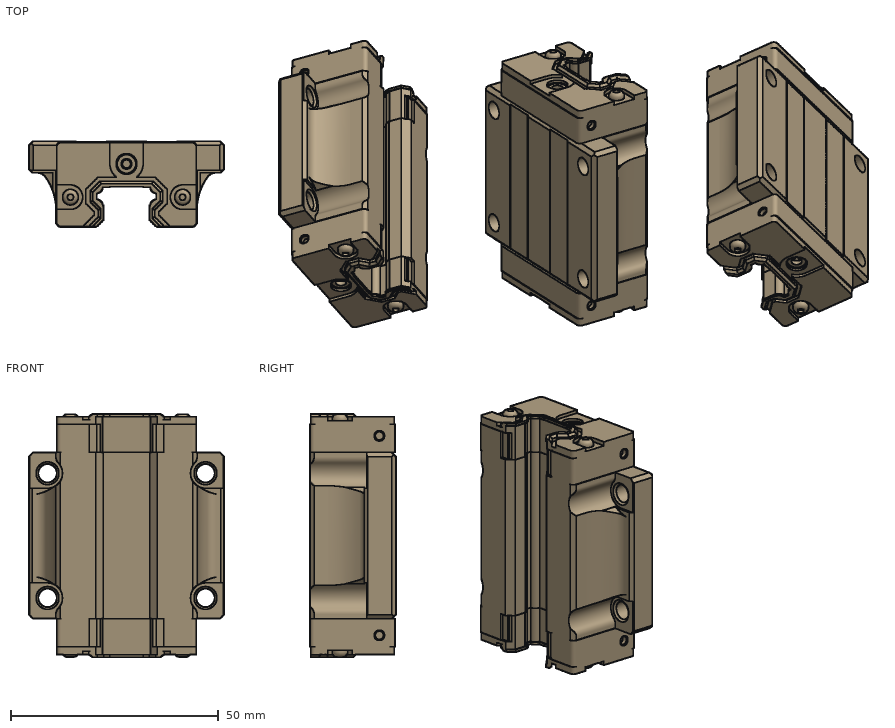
import math

import cadquery as cq


total_width = 47.0
total_height = 20.7
total_length = 58.6
underside = 0.0
overreach = 2.5

body_length = 40.0
body_half_width = 17.0
body_bottom_chamfer = 1.0
flange_bottom = 13.05
flange_chamfer = 1.0
flange_bottom_chamfer = 0.85
flange_pad_inner = 21.5
web_upper_radius = 2.45
web_upper_sweep = math.radians(54)

relief_inner = 4.75
relief_outer = 12.2
relief_depth = 0.2

hole_x = 19.0
hole_z = 15.0
hole_diameter = 4.4
hole_mouth_diameter = 5.5
spot_face_y = 13.65
spot_face_radius = 3.6
spot_blend_radius = 2.0
web_end_radius = 10.2
web_end_inner = 17.74

ceiling = 9.7
groove_wall = 7.3
rib_radius = 1.5
groove_flat_top = ceiling - rib_radius
groove_flat_bottom = 6.6
lip = 5.65
lip_bottom = 1.75
cap_clearance = 0.08

cap_half_width = 16.8
cap_top = 20.5
cap_fillet = 1.0
cap_end = 26.75
plate_top = 20.3
plate_bottom = 0.15
plate_end = 28.65
lip_slot_outer = 9.0
lip_slot_step = 7.2
lip_slot_outer_depth = 0.7
lip_slot_inner_depth = 1.15

seal_end = total_length / 2
seal_lip_reach = 0.15
seal_notch_half_width = 4.0
seal_gap = 1.0
seal_gap_depth = 0.8
seal_bevel_angle = 45
seal_lip_x = 6.8
seal_lip_y = 2.45
seal_edge = [
    (6.4, 11.05),
    (8.75, 8.7),
    (8.75, 6.05),
    (seal_lip_x, 4.1),
    (seal_lip_x, seal_lip_y),
    (seal_lip_x + seal_lip_y + overreach, -overreach),
]

port_y = 15.2
port_recess_radius = 4.0
port_steps = [
    (5.0, 0.65),
    (4.5, 0.8),
    (2.5, 2.0),
    (2.0, 3.0),
]

screw_x = 13.5
screw_y = 7.2
screw_recess_radius = 2.95
screw_recess_depth = 1.0
screw_head_diameter = 3.8
screw_top = 29.25
screw_socket_diameter = 1.5
screw_socket_depth = 0.8

side_port_y = 16.7
side_port_z = 24.0
side_port_diameter = 2.0
side_port_mouth_diameter = 2.5
side_port_depth = 1.5


def mirrored(solid, plane):
    """Join a solid with its mirror image."""
    return solid.union(solid.mirror(plane))


def four_corners(solid):
    """Repeat a +X +Z feature in all four corners."""
    return mirrored(mirrored(solid, "YZ"), "XY")


def box_between(x, y, z):
    """Box from its (low, high) limits along each axis."""
    size = [limits[1] - limits[0] for limits in (x, y, z)]
    return cq.Workplane("XY").box(*size, centered=False).translate((x[0], y[0], z[0]))


def channel(z_low, z_high, clearance=0.0):
    """Rail channel cutter: two ribs of quarter-round section on each side and a bevelled lip."""
    diagonal = rib_radius * math.sqrt(0.5)
    rib_edge = groove_wall - rib_radius
    lower_rib_y = groove_flat_bottom - rib_radius
    foot = lip + lip_bottom + overreach
    outline = (
        cq.Workplane("XY")
        .workplane(offset=z_low)
        .moveTo(0, -overreach)
        .lineTo(foot, -overreach)
        .lineTo(lip, lip_bottom)
        .lineTo(lip, lower_rib_y)
        .lineTo(rib_edge, lower_rib_y)
        .threePointArc(
            (groove_wall - diagonal, lower_rib_y + diagonal),
            (groove_wall, groove_flat_bottom),
        )
        .lineTo(groove_wall, groove_flat_top)
        .threePointArc((groove_wall - diagonal, ceiling - diagonal), (rib_edge, ceiling))
        .lineTo(0, ceiling)
        .mirrorY()
    )
    if clearance:
        outline = outline.offset2D(clearance, "intersection")
    return outline.extrude(z_high - z_low)


def seal_outline(z, growth=0.0):
    """Closed outline around the seal, grown outward by the given distance."""
    left = [(-x, y) for x, y in reversed(seal_edge)]
    outline = cq.Workplane("XY").workplane(offset=z).polyline(seal_edge + left).close()
    if growth:
        outline = outline.offset2D(growth, "intersection")
    return outline


def make_body_blank():
    """Flanged section with a curved web below each flange, chamfered at the ends."""
    half_width = total_width / 2

    upper_center = (flange_pad_inner, flange_bottom - web_upper_radius)

    def on_arc(center, radius, angle):
        return (center[0] - radius * math.sin(angle), center[1] + radius * math.cos(angle))

    join = on_arc(upper_center, web_upper_radius, web_upper_sweep)
    lower_radius = (join[0] - body_half_width) / (1 - math.sin(web_upper_sweep))
    lower_center = on_arc(join, -lower_radius, web_upper_sweep)
    lower_middle = (web_upper_sweep + math.pi / 2) / 2

    blank = (
        cq.Workplane("XY")
        .workplane(offset=-body_length / 2)
        .moveTo(0, underside)
        .lineTo(body_half_width - body_bottom_chamfer, underside)
        .lineTo(body_half_width, underside + body_bottom_chamfer)
        .lineTo(body_half_width, lower_center[1])
        .threePointArc(on_arc(lower_center, lower_radius, lower_middle), join)
        .threePointArc(
            on_arc(upper_center, web_upper_radius, web_upper_sweep / 2),
            (flange_pad_inner, flange_bottom),
        )
        .lineTo(half_width - flange_bottom_chamfer, flange_bottom)
        .lineTo(half_width, flange_bottom + flange_bottom_chamfer)
        .lineTo(half_width, total_height)
        .lineTo(0, total_height)
        .mirrorY()
        .extrude(body_length)
    )
    blank = blank.faces(">Y").edges().chamfer(flange_chamfer)
    return blank.faces("<X or >X").edges("|Y").chamfer(flange_chamfer)


def spot_face():
    """Pocket under the flange: round beside the hole, open to the flange side and to the end."""
    outer_x = total_width / 2 + overreach
    outer_z = body_length / 2 + overreach

    blend_x = body_half_width - spot_blend_radius
    reach = spot_face_radius + spot_blend_radius
    blend_z = hole_z + math.sqrt(reach**2 - (hole_x - blend_x) ** 2)
    blend_angle = math.atan2(blend_z - hole_z, hole_x - blend_x)
    tangent_point = (
        hole_x - spot_face_radius * math.cos(blend_angle),
        hole_z + spot_face_radius * math.sin(blend_angle),
    )
    blend_middle = (
        blend_x + spot_blend_radius * math.cos(blend_angle / 2),
        blend_z - spot_blend_radius * math.sin(blend_angle / 2),
    )
    return (
        cq.Workplane("XZ", origin=(0, -overreach, 0))
        .moveTo(outer_x, hole_z - spot_face_radius)
        .lineTo(hole_x, hole_z - spot_face_radius)
        .threePointArc((hole_x - spot_face_radius, hole_z), tangent_point)
        .threePointArc(blend_middle, (body_half_width, blend_z))
        .lineTo(body_half_width, outer_z)
        .lineTo(outer_x, outer_z)
        .close()
        .extrude(-(spot_face_y + overreach))
    )


def web_end_cut():
    """Large round cut that ends the curved web short of the spot face."""
    cylinder = (
        cq.Workplane("XZ", origin=(0, -overreach, 0))
        .center(total_width / 2, body_length / 2)
        .circle(web_end_radius)
        .extrude(-(flange_bottom + overreach))
    )
    limits = box_between(
        (web_end_inner, total_width), (-overreach, flange_bottom), (0, body_length)
    )
    return cylinder.intersect(limits)


def mounting_hole():
    """Through hole with a 45 degree countersink at the spot face."""
    mouth_depth = (hole_mouth_diameter - hole_diameter) / 2
    hole = (
        cq.Workplane("XZ", origin=(hole_x, spot_face_y, hole_z))
        .circle(hole_diameter / 2)
        .extrude(-total_height)
    )
    mouth = (
        cq.Workplane("XZ", origin=(hole_x, spot_face_y, hole_z))
        .circle(hole_mouth_diameter / 2)
        .workplane(offset=-mouth_depth)
        .circle(hole_diameter / 2)
        .loft()
    )
    return hole.union(mouth)


def mounting_face_reliefs():
    """Two shallow channels along the full body length."""
    half_length = body_length / 2
    relief = box_between(
        (relief_inner, relief_outer),
        (total_height - relief_depth, total_height),
        (-half_length, half_length),
    )
    return mirrored(relief, "YZ")


def make_body():
    half_length = body_length / 2
    body = make_body_blank().cut(channel(-half_length, half_length))
    body = body.cut(mounting_face_reliefs())
    for cutter in (spot_face(), web_end_cut(), mounting_hole()):
        body = body.cut(four_corners(cutter))
    return body


def rounded_block(bottom, top, z_low, z_high):
    """Block across the cap width with its four long edges rounded."""
    block = box_between((-cap_half_width, cap_half_width), (bottom, top), (z_low, z_high))
    return block.edges("|Z").fillet(cap_fillet)


def lip_slot():
    """Stepped slot under the channel lip of an end cap."""
    z_range = (body_length / 2, cap_end)
    outer = box_between((lip_slot_step, lip_slot_outer), (underside, lip_slot_outer_depth), z_range)
    inner = box_between((lip, lip_slot_step), (underside, lip_slot_inner_depth), z_range)
    return mirrored(outer.union(inner), "YZ")


def side_port():
    """Countersunk blind hole in the side of an end cap."""
    mouth_depth = (side_port_mouth_diameter - side_port_diameter) / 2
    side = cq.Workplane("YZ", origin=(-cap_half_width, side_port_y, side_port_z))
    hole = side.circle(side_port_diameter / 2).extrude(side_port_depth)
    mouth = (
        side.circle(side_port_mouth_diameter / 2)
        .workplane(offset=mouth_depth)
        .circle(side_port_diameter / 2)
        .loft()
    )
    return mirrored(hole.union(mouth), "YZ")


def seal():
    """Seal strip around the channel with a 45 degree outer bevel; its proud part reaches inward."""
    floor = plate_end - seal_gap_depth
    bevel = seal_end - plate_end
    strip = seal_outline(floor).extrude(seal_gap_depth)
    strip = strip.union(seal_outline(plate_end).extrude(bevel, taper=seal_bevel_angle))
    limits = box_between(
        (-cap_half_width, cap_half_width), (plate_bottom, cap_top), (floor, seal_end)
    )
    notch = box_between(
        (-seal_notch_half_width, seal_notch_half_width),
        (underside, ceiling),
        (plate_end, seal_end),
    )
    strip = strip.intersect(limits).cut(channel(floor, plate_end, cap_clearance))
    return strip.cut(channel(plate_end, seal_end, -seal_lip_reach)).cut(notch)


def port_recess():
    """U-shaped recess around the nipple port, open to the top, as deep as the seal gap."""
    floor = plate_end - seal_gap_depth
    slot = box_between(
        (-port_recess_radius, port_recess_radius), (port_y, total_height), (floor, plate_end)
    )
    round_end = (
        cq.Workplane("XY", origin=(0, port_y, floor))
        .circle(port_recess_radius)
        .extrude(seal_gap_depth)
    )
    return slot.union(round_end)


def port_hole():
    """Stepped blind hole in the floor of the nipple port recess."""
    floor = cq.Workplane("XY", origin=(0, port_y, plate_end - seal_gap_depth))
    hole = cq.Workplane("XY")
    for diameter, depth in port_steps:
        hole = hole.union(floor.circle(diameter / 2).extrude(-depth))
    return hole


def screw_recess():
    """Round-ended recess around a plate screw, open to the side."""
    floor = plate_end - screw_recess_depth
    slot = box_between(
        (screw_x, total_width / 2),
        (screw_y - screw_recess_radius, screw_y + screw_recess_radius),
        (floor, plate_end),
    )
    round_end = (
        cq.Workplane("XY", origin=(screw_x, screw_y, floor))
        .circle(screw_recess_radius)
        .extrude(screw_recess_depth)
    )
    return mirrored(slot.union(round_end), "YZ")


def screw_head():
    """Button head with a straight rim and a dome that levels out at the edge of its round socket."""
    floor = plate_end - screw_recess_depth
    head_radius = screw_head_diameter / 2
    socket_radius = screw_socket_diameter / 2
    rim_z = screw_top - (head_radius - socket_radius)
    dome = (
        cq.Workplane("XZ")
        .moveTo(0, floor)
        .lineTo(head_radius, floor)
        .lineTo(head_radius, rim_z)
        .tangentArcPoint((socket_radius, screw_top), relative=False)
        .lineTo(0, screw_top)
        .close()
        .revolve(360, (0, 0, 0), (0, 1, 0))
    )
    socket = (
        cq.Workplane("XY")
        .workplane(offset=screw_top - screw_socket_depth)
        .circle(socket_radius)
        .extrude(screw_socket_depth)
    )
    return mirrored(dome.cut(socket).translate((screw_x, screw_y, 0)), "YZ")


def make_end():
    """End cap with face plate, seal, port and screws on the +Z side."""
    cap_start = body_length / 2
    cap = rounded_block(underside, cap_top, cap_start, cap_end)
    cap = cap.union(rounded_block(plate_bottom, plate_top, cap_end, plate_end))
    cap = cap.cut(channel(cap_start, plate_end, cap_clearance))
    cap = cap.cut(lip_slot()).cut(side_port())

    gap = seal_outline(plate_end - seal_gap_depth, seal_gap).extrude(seal_gap_depth)
    cap = cap.cut(gap).cut(port_recess()).cut(port_hole()).cut(screw_recess())
    return cap.union(seal()).union(screw_head())


result = make_body().union(mirrored(make_end(), "XY"))